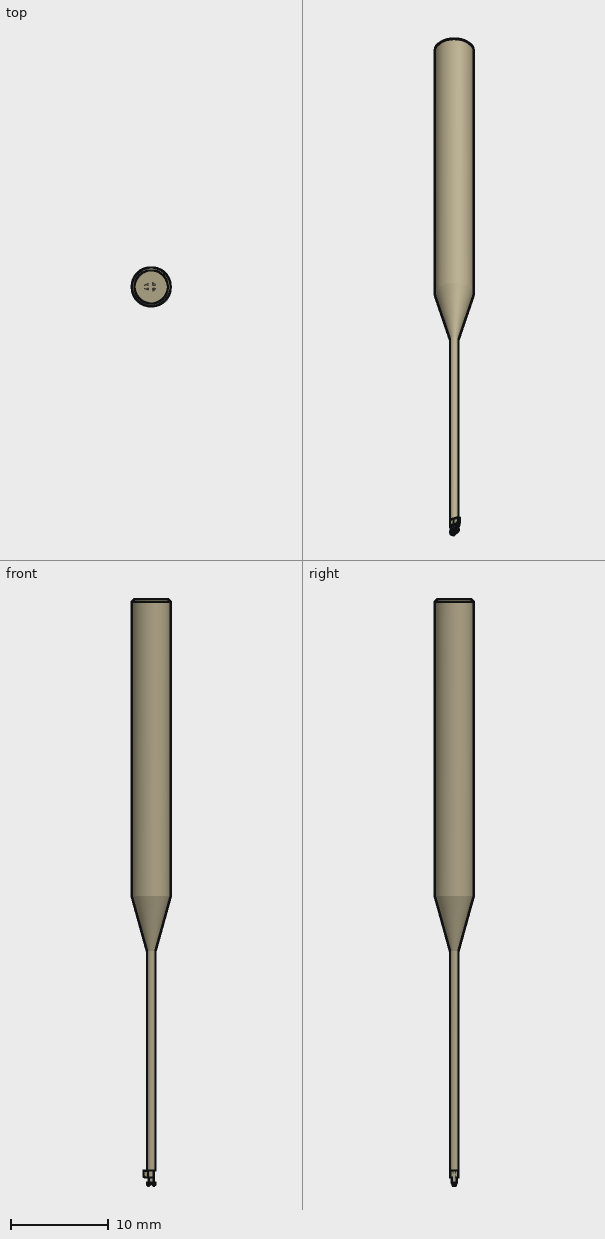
import cadquery as cq

TOTAL_LENGTH = 60.0
SHANK_BOTTOM = 29.6
CONE_BOTTOM = 24.0
NECK_BOTTOM = 1.55
TOOTH_BOTTOM = 0.85
FOOT_TOP = 0.35
FOOT_EDGE = 0.15

SHANK_DIAMETER = TOTAL_LENGTH / 15
SHANK_RADIUS = SHANK_DIAMETER / 2
SHANK_CHAMFER = 0.3
NECK_RADIUS = 0.45

TOOTH_REACH = 0.81
TOOTH_CHAMFER = 0.15
TOOTH_END_HALF_THICKNESS = 0.1
STEM_HALF_WIDTH = 0.27
FOOT_TOE = 0.27
FOOT_NOTCH_HEIGHT = 0.2
STEM_HALF_THICKNESS = 0.27
TOE_HALF_THICKNESS = 0.1


def make_holder():
    """Turned shank, cone and slender neck."""
    return (
        cq.Workplane("XZ")
        .moveTo(0, NECK_BOTTOM)
        .lineTo(NECK_RADIUS, NECK_BOTTOM)
        .lineTo(NECK_RADIUS, CONE_BOTTOM)
        .lineTo(SHANK_RADIUS, SHANK_BOTTOM)
        .lineTo(SHANK_RADIUS, TOTAL_LENGTH - SHANK_CHAMFER)
        .lineTo(SHANK_RADIUS - SHANK_CHAMFER, TOTAL_LENGTH)
        .lineTo(0, TOTAL_LENGTH)
        .close()
        .revolve(360, (0, 0, 0), (0, 1, 0))
    )


def make_cutting_tip():
    """One-sided tooth on a stem with a flared, notched foot."""
    side_outline = (
        cq.Workplane("XZ")
        .moveTo(-TOOTH_REACH, NECK_BOTTOM)
        .lineTo(STEM_HALF_WIDTH, NECK_BOTTOM)
        .lineTo(STEM_HALF_WIDTH, FOOT_TOP)
        .lineTo(NECK_RADIUS, FOOT_TOP)
        .lineTo(NECK_RADIUS, FOOT_EDGE)
        .lineTo(FOOT_TOE, 0)
        .threePointArc((0, FOOT_NOTCH_HEIGHT), (-FOOT_TOE, 0))
        .lineTo(-NECK_RADIUS, FOOT_EDGE)
        .lineTo(-NECK_RADIUS, FOOT_TOP)
        .lineTo(-STEM_HALF_WIDTH, FOOT_TOP)
        .lineTo(-STEM_HALF_WIDTH, TOOTH_BOTTOM)
        .lineTo(-TOOTH_REACH + TOOTH_CHAMFER, TOOTH_BOTTOM)
        .lineTo(-TOOTH_REACH, TOOTH_BOTTOM + TOOTH_CHAMFER)
        .close()
        .extrude(NECK_RADIUS, both=True)
    )
    end_outline = (
        cq.Workplane("YZ")
        .moveTo(-NECK_RADIUS, NECK_BOTTOM)
        .lineTo(NECK_RADIUS, NECK_BOTTOM)
        .lineTo(NECK_RADIUS, TOOTH_BOTTOM)
        .lineTo(STEM_HALF_THICKNESS, TOOTH_BOTTOM)
        .lineTo(STEM_HALF_THICKNESS, FOOT_TOP)
        .lineTo(TOE_HALF_THICKNESS, 0)
        .lineTo(-TOE_HALF_THICKNESS, 0)
        .lineTo(-STEM_HALF_THICKNESS, FOOT_TOP)
        .lineTo(-STEM_HALF_THICKNESS, TOOTH_BOTTOM)
        .lineTo(-NECK_RADIUS, TOOTH_BOTTOM)
        .close()
        .extrude(TOOTH_REACH, both=True)
    )
    round_core = cq.Workplane("XY").circle(NECK_RADIUS).extrude(NECK_BOTTOM)
    tapered_tooth = (
        cq.Workplane("XY")
        .moveTo(0, NECK_RADIUS)
        .lineTo(-TOOTH_REACH, TOOTH_END_HALF_THICKNESS)
        .lineTo(-TOOTH_REACH, -TOOTH_END_HALF_THICKNESS)
        .lineTo(0, -NECK_RADIUS)
        .close()
        .extrude(NECK_BOTTOM)
    )
    envelope = round_core.union(tapered_tooth)
    return side_outline.intersect(end_outline).intersect(envelope)


holder = make_holder()
cutting_tip = make_cutting_tip()

result = cq.Compound.makeCompound([holder.val(), *cutting_tip.vals()])